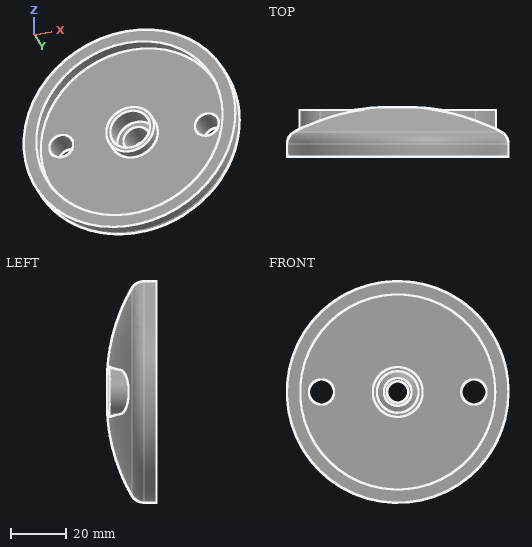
import math

import cadquery as cq


disc_radius = 40.0
total_depth = 18.0
dome_edge_height = 7.45
dome_flat_radius = 4.0
edge_fillet = 5.0

recess_radius = 35.2
recess_depth = 5.6
ring_setback = 0.8
ring_radius = 9.0
bore_radius = 7.5
bore_depth = 9.5

seat_height = 0.7
seat_hole_radius = 5.0
back_hole_radius = 3.8

bar_end_height = 17.0
bar_end_radius = 8.0
bar_middle_radius = 10.0
mount_offset = 27.5
mount_hole_radius = 4.5


def revolve_about_y(profile):
    """Close a half profile drawn from the axis and turn it into a solid."""
    return profile.close().revolve(360, (0, 0, 0), (0, 1, 0))


def cylinder(radius, start, end, x=0.0):
    """Cylinder along +Y between two heights."""
    plane = cq.Workplane("XZ", origin=(x, start, 0))
    return plane.circle(radius).extrude(start - end)


def make_domed_disc():
    """Disc with a small flat crown, a tangent dome arc and a rounded shoulder."""
    span = disc_radius - dome_flat_radius
    sag = total_depth - dome_edge_height
    dome_radius = (span**2 + sag**2) / (2 * sag)
    mid_angle = math.asin(span / dome_radius) / 2
    mid_x = dome_flat_radius + dome_radius * math.sin(mid_angle)
    mid_y = total_depth - dome_radius * (1 - math.cos(mid_angle))
    profile = (
        cq.Workplane("XY")
        .lineTo(disc_radius, 0)
        .lineTo(disc_radius, dome_edge_height)
        .threePointArc((mid_x, mid_y), (dome_flat_radius, total_depth))
        .lineTo(0, total_depth)
    )
    disc = revolve_about_y(profile)
    dome_edge = cq.selectors.NearestToPointSelector((0, dome_edge_height, 0))
    return disc.edges(dome_edge).fillet(edge_fillet)


def make_bar():
    """Bar with straight sides tangent to a large middle circle and two smaller end circles."""
    tilt = math.asin((bar_middle_radius - bar_end_radius) / mount_offset)
    end_x = mount_offset + bar_end_radius * math.sin(tilt)
    end_z = bar_end_radius * math.cos(tilt)
    middle_x = bar_middle_radius * math.sin(tilt)
    middle_z = bar_middle_radius * math.cos(tilt)
    tip_x = mount_offset + bar_end_radius
    outline = (
        cq.Workplane("XZ", origin=(0, recess_depth, 0))
        .moveTo(middle_x, middle_z)
        .lineTo(end_x, end_z)
        .threePointArc((tip_x, 0), (end_x, -end_z))
        .lineTo(middle_x, -middle_z)
        .threePointArc((0, -bar_middle_radius), (-middle_x, -middle_z))
        .lineTo(-end_x, -end_z)
        .threePointArc((-tip_x, 0), (-end_x, end_z))
        .lineTo(-middle_x, middle_z)
        .threePointArc((0, bar_middle_radius), (middle_x, middle_z))
        .close()
    )
    return outline.extrude(recess_depth - bar_end_height)


def make_center_bore():
    """Bore with a raised conical floor, continuing as a tapered hole through the dome."""
    profile = (
        cq.Workplane("XY")
        .lineTo(bore_radius, 0)
        .lineTo(bore_radius, bore_depth)
        .lineTo(seat_hole_radius, bore_depth - seat_height)
        .lineTo(back_hole_radius, total_depth)
        .lineTo(0, total_depth)
    )
    return revolve_about_y(profile)


def make_recess():
    """Shallow front pocket that leaves the central ring standing."""
    pocket = cylinder(recess_radius, 0, recess_depth)
    return pocket.cut(cylinder(ring_radius, ring_setback, recess_depth))


def make_mount_holes():
    left_hole = cylinder(mount_hole_radius, 0, total_depth, -mount_offset)
    right_hole = cylinder(mount_hole_radius, 0, total_depth, mount_offset)
    return left_hole.union(right_hole)


result = make_domed_disc().union(make_bar())
for cutter in (make_recess(), make_center_bore(), make_mount_holes()):
    result = result.cut(cutter)